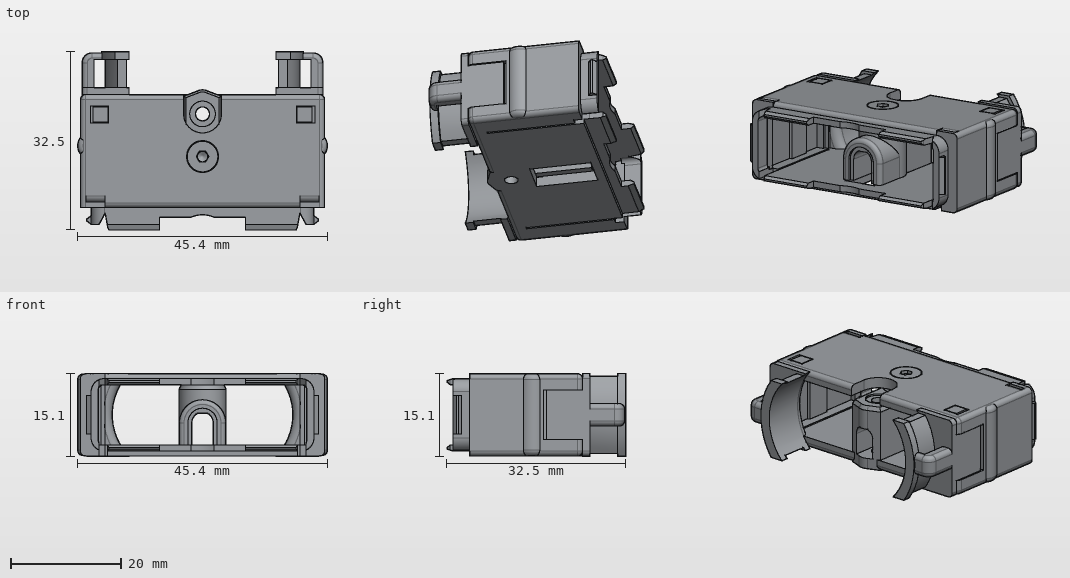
import cadquery as cq
import math


BODY_HALF_X = 22.21
HALF_Z = 7.48
BODY_LENGTH = 20.55
EDGE_RADIUS = 0.92
CAVITY_HALF_X = 18.9
CAVITY_HALF_Z = 5.45
CORNER_X = 17.7
FLOOR_NOTCH_X = (17.3, 18.8)
FLOOR_NOTCH_DEPTH = 1.6
FLOOR_SLIT_OUTER_X = 17.7
SIDE_POCKET_X = 19.9
SIDE_POCKET_Y = (FLOOR_NOTCH_DEPTH, 17.9)
VALLEY_OUTER_X = 21.2
VALLEY_RADIUS = 1.1
LIP_DEPTH = 1.0
OVERLAP = 0.5

TONGUE_OUTER_Z = 6.6
TONGUE_LENGTH = 4.08
TONGUE_TIP_HALF_X = 17.25
TONGUE_CORNER = (0.25, 0.5)
TONGUE_OUTER_BEVEL = (1.05, 0.35)
TONGUE_INNER_BEVEL = (0.6, 0.45)
RECESS_HALF_X = 7.8
RECESS_EDGE_Y = -1.75
RECESS_ARC_HALF_X = 2.1
RECESS_ARC_Y = -1.3

LUG_OUTER_X = 20.25
LUG_INNER_X = 19.0
LUG_RADIUS = 2.4
LUG_INNER_RADIUS = 1.0
LUG_LENGTH = 3.05
LUG_SHOULDER_Y = -1.0
LUG_TIP_X = 18.8
HOOK_X = 21.05
HOOK_HALF_Z = 3.5
HOOK_START_Y = -1.45
HOOK_FLAT_Y = (-2.05, -2.4)

RIDGE_Y = 11.25
RIDGE_HALF_LENGTH = 1.5
RIDGE_HEIGHT = 0.5
RIDGE_HALF_Z = 7.42
RIDGE_END_ROUND = 1.0
WINDOW_HALF_Z = 4.5
WINDOW_FRONT_Y = 13.46
WINDOW_GAP = 0.5
WINDOW_GAP_DEPTH = 1.0

CLIP_X = (17.06, 20.4)
CLIP_Y = (15.4, 18.5)
CLIP_DEPTH = 1.0
CLIP_GAP = 0.15
CLIP_OUTER_GAP = 0.5
SCREW_Y = 9.3
SCREW_RADIUS = 2.9
SCREW_GROOVE = 0.12
SCREW_GROOVE_DEPTH = 0.4
HEX_ACROSS_CORNERS = 2.27
HEX_DEPTH = 0.6
HEX_CONE_RADIUS = 0.95
HEX_CONE_DEPTH = 0.6
EYE_Y = 17.05
EYE_RADIUS = 1.25
EYE_SEAT_RADIUS = 2.33
EYE_SEAT_DEPTH = 0.3
SLOT_HALF_X = 3.45

POST_RADIUS = 4.3
POST_BACK_HALF_X = 3.38
POST_SHOULDER_Y = 20.3
POST_PEAK_Y = 21.45
POST_PEAK_HALF_X = 1.0
POST_PEAK_RISE = 0.25
POST_CHAMFER = (0.8, 0.4)
POST_BACK_TOP_Z = 4.75
ARCH_Z = -1.45
ARCH_FRONT_Y = 2.1
ARCH_RADIUS = 4.2
ARCH_FILLET = 0.85
TUNNEL_MOUTH_RADIUS = 2.66
TUNNEL_MOUTH_DEPTH = 0.5
TUNNEL_RADIUS = 1.93
TUNNEL_TOP_Z = 0.25
FLOOR_OPENING_HALF_X = 3.2
FLOOR_OPENING_Y = (1.65, 13.0)

BORE_X = 5.6
BORE_RADIUS = 10.8
BORE_MOUTH = 1.6
PLUG_FRONT_Y = 18.9
PLUG_STEPS = ((17.74, 18.4), (18.5, 17.9))
FLANGE_HALF_X = 21.9
FLANGE_BACK_Y = 21.83
CLAMP_HALF_Z = 7.53
NECK_RADIUS = 12.12
NECK_HALF_Z = 7.03
COLLAR_RADIUS = 12.8
COLLAR_FRONT_Y = 26.9
BACK_Y = 28.39
BAR_HALF_Z = 2.05
BAR_BACK_Y = 28.15
BAR_INNER_X = 19.7
BAR_ROUND = 1.8
BAR_EDGE = 0.95


def block(x, y, z):
    """Box between the two limits given for each axis."""
    size = (x[1] - x[0], y[1] - y[0], z[1] - z[0])
    return cq.Workplane("XY").box(*size, centered=False).translate((x[0], y[0], z[0]))


def cylinder_y(x, z, radius, y):
    """Cylinder along Y between the two limits of y."""
    plane = cq.Plane(origin=(x, y[0], z), xDir=(1, 0, 0), normal=(0, 1, 0))
    return cq.Workplane(plane).circle(radius).extrude(y[1] - y[0])


def both_sides(shape):
    return shape.union(shape.mirror("YZ"))


def shell():
    body = block((-BODY_HALF_X, BODY_HALF_X), (0, BODY_LENGTH), (-HALF_Z, HALF_Z))
    body = body.edges("|Y").fillet(EDGE_RADIUS)
    body = body.faces(">Y").edges().fillet(EDGE_RADIUS)
    cavity = block(
        (-CAVITY_HALF_X, CAVITY_HALF_X), (0, BODY_LENGTH), (-CAVITY_HALF_Z, CAVITY_HALF_Z)
    )
    body = body.cut(cavity).cut(roof_front_round())
    return body.cut(both_sides(corner_cuts())).cut(both_sides(side_pocket()))


def roof_front_round():
    """Waste outside the rounded front edge of the roof, between the corner blocks."""
    radius = HALF_Z - TONGUE_OUTER_Z
    corner = block((-CORNER_X, CORNER_X), (0, radius), (TONGUE_OUTER_Z, HALF_Z))
    round_bar = (
        cq.Workplane("YZ").center(radius, TONGUE_OUTER_Z).circle(radius)
        .extrude(CORNER_X, both=True)
    )
    return corner.cut(round_bar)


def corner_cuts():
    """Rounded valley behind the upper lip, and notch in the front of the floor."""
    back_y = LIP_DEPTH + VALLEY_RADIUS
    low_z = HALF_Z - VALLEY_RADIUS
    valley = block((CORNER_X, VALLEY_OUTER_X), (LIP_DEPTH, back_y), (low_z, HALF_Z))
    round_bar = (
        cq.Workplane("YZ").center(back_y, low_z).circle(VALLEY_RADIUS).extrude(BODY_HALF_X)
    )
    notch = block(FLOOR_NOTCH_X, (0, FLOOR_NOTCH_DEPTH), (-HALF_Z, -CAVITY_HALF_Z))
    return valley.cut(round_bar).union(notch)


def side_pocket():
    """Pocket in the inside of the +X wall, and the slit along the floor in front of it."""
    pocket = block((0, SIDE_POCKET_X), SIDE_POCKET_Y, (-CAVITY_HALF_Z, CAVITY_HALF_Z))
    slit = block(
        (FLOOR_NOTCH_X[0], FLOOR_SLIT_OUTER_X), (0, SIDE_POCKET_Y[1]), (-HALF_Z, -CAVITY_HALF_Z)
    )
    return pocket.union(slit)


def tongue(root_half_x):
    """Upper front tongue: plan outline cut to its bevelled side profile."""
    corner_x = TONGUE_TIP_HALF_X - TONGUE_CORNER[0]
    corner_y = TONGUE_CORNER[1] - TONGUE_LENGTH
    plan = (
        cq.Workplane("XY").workplane(offset=CAVITY_HALF_Z)
        .moveTo(0, OVERLAP)
        .lineTo(root_half_x, OVERLAP)
        .lineTo(root_half_x, LUG_SHOULDER_Y)
        .lineTo(TONGUE_TIP_HALF_X, corner_y)
        .lineTo(corner_x, -TONGUE_LENGTH)
        .lineTo(RECESS_HALF_X, -TONGUE_LENGTH)
        .lineTo(RECESS_HALF_X, RECESS_EDGE_Y)
        .lineTo(RECESS_ARC_HALF_X, RECESS_EDGE_Y)
        .threePointArc((0, RECESS_ARC_Y), (-RECESS_ARC_HALF_X, RECESS_EDGE_Y))
        .lineTo(-RECESS_HALF_X, RECESS_EDGE_Y)
        .lineTo(-RECESS_HALF_X, -TONGUE_LENGTH)
        .lineTo(-corner_x, -TONGUE_LENGTH)
        .lineTo(-TONGUE_TIP_HALF_X, corner_y)
        .lineTo(-root_half_x, LUG_SHOULDER_Y)
        .lineTo(-root_half_x, OVERLAP)
        .close()
        .extrude(TONGUE_OUTER_Z - CAVITY_HALF_Z)
    )
    inner_length, inner_drop = TONGUE_INNER_BEVEL
    outer_length, outer_drop = TONGUE_OUTER_BEVEL
    profile = (
        cq.Workplane("YZ")
        .moveTo(OVERLAP, CAVITY_HALF_Z)
        .lineTo(inner_length - TONGUE_LENGTH, CAVITY_HALF_Z)
        .lineTo(-TONGUE_LENGTH, CAVITY_HALF_Z + inner_drop)
        .lineTo(-TONGUE_LENGTH, TONGUE_OUTER_Z - outer_drop)
        .lineTo(outer_length - TONGUE_LENGTH, TONGUE_OUTER_Z)
        .lineTo(OVERLAP, TONGUE_OUTER_Z)
        .close()
        .extrude(root_half_x, both=True)
    )
    return plan.intersect(profile)


def front_lug():
    """C-shaped latch wall on the +X side with a snap hook on its outside."""
    y_range = (-LUG_LENGTH, OVERLAP)
    outer = block((0, LUG_OUTER_X), y_range, (-TONGUE_OUTER_Z, TONGUE_OUTER_Z))
    outer = outer.edges("|Y and >X").fillet(LUG_RADIUS)
    inner = block((0, LUG_INNER_X), y_range, (-CAVITY_HALF_Z, CAVITY_HALF_Z))
    inner = inner.edges("|Y and >X").fillet(LUG_INNER_RADIUS)
    lower_leg = block((0, FLOOR_NOTCH_X[1]), y_range, (-HALF_Z, 0))
    plan = (
        cq.Workplane("XY").workplane(offset=-HALF_Z)
        .moveTo(CORNER_X, OVERLAP)
        .lineTo(CORNER_X, LUG_SHOULDER_Y)
        .lineTo(LUG_TIP_X, -LUG_LENGTH)
        .lineTo(LUG_OUTER_X, -LUG_LENGTH)
        .lineTo(LUG_OUTER_X, OVERLAP)
        .close()
        .extrude(2 * HALF_Z)
    )
    hook = (
        cq.Workplane("XY")
        .moveTo(LUG_INNER_X, HOOK_START_Y)
        .lineTo(LUG_OUTER_X, HOOK_START_Y)
        .lineTo(HOOK_X, HOOK_FLAT_Y[0])
        .lineTo(HOOK_X, HOOK_FLAT_Y[1])
        .lineTo(LUG_OUTER_X, -LUG_LENGTH)
        .lineTo(LUG_INNER_X, -LUG_LENGTH)
        .close()
        .extrude(HOOK_HALF_Z, both=True)
    )
    return outer.cut(inner).cut(lower_leg).intersect(plan).union(hook)


def grip_ridge():
    """Low ridge up the +X side: the outer sliver of an upright cylinder with rounded rims."""
    outer_x = BODY_HALF_X + RIDGE_HEIGHT
    radius = (RIDGE_HALF_LENGTH**2 + RIDGE_HEIGHT**2) / (2 * RIDGE_HEIGHT)
    pillar = (
        cq.Workplane("XY").center(outer_x - radius, RIDGE_Y)
        .circle(radius).extrude(RIDGE_HALF_Z, both=True)
    )
    pillar = pillar.faces("|Z").edges().fillet(RIDGE_END_ROUND)
    envelope = block(
        (CAVITY_HALF_X + OVERLAP, outer_x),
        (RIDGE_Y - radius, RIDGE_Y + radius),
        (-RIDGE_HALF_Z, RIDGE_HALF_Z),
    )
    return pillar.intersect(envelope)


def side_window():
    """Recess in the +X side down to the flange width, with a deeper gap at its front end."""
    z_range = (-WINDOW_HALF_Z, WINDOW_HALF_Z)
    recess = block((FLANGE_HALF_X, BODY_HALF_X), (WINDOW_FRONT_Y, BODY_LENGTH), z_range)
    gap = block(
        (BODY_HALF_X - WINDOW_GAP_DEPTH, BODY_HALF_X),
        (WINDOW_FRONT_Y, WINDOW_FRONT_Y + WINDOW_GAP),
        z_range,
    )
    return recess.union(gap)


def roof_clip_gap():
    """Gap around the flush square clip in the roof on the +X side."""
    z_range = (HALF_Z - CLIP_DEPTH, HALF_Z)
    opening = block(CLIP_X, CLIP_Y, z_range)
    clip = block(
        (CLIP_X[0] + CLIP_GAP, CLIP_X[1] - CLIP_OUTER_GAP),
        (CLIP_Y[0] + CLIP_GAP, CLIP_Y[1] - CLIP_GAP),
        z_range,
    )
    return opening.cut(clip)


def roof_slot():
    """U-shaped slot from the back edge of the roof around the eye of the post."""
    height = HALF_Z - CAVITY_HALF_Z
    base = cq.Workplane("XY").workplane(offset=CAVITY_HALF_Z)
    end = base.center(0, EYE_Y).circle(SLOT_HALF_X).extrude(height)
    sides = block((-SLOT_HALF_X, SLOT_HALF_X), (EYE_Y, BODY_LENGTH), (CAVITY_HALF_Z, HALF_Z))
    return end.union(sides)


def screw_cuts():
    """Ring around the flush screw head and its hexagon socket with a conical bottom."""
    top = cq.Workplane("XY").workplane(offset=HALF_Z).center(0, SCREW_Y)
    ring = top.circle(SCREW_RADIUS).circle(SCREW_RADIUS - SCREW_GROOVE).extrude(-SCREW_GROOVE_DEPTH)
    socket = top.polygon(6, HEX_ACROSS_CORNERS).extrude(-HEX_DEPTH)
    cone = cq.Workplane("XY").add(
        cq.Solid.makeCone(
            HEX_CONE_RADIUS,
            0,
            HEX_CONE_DEPTH,
            pnt=cq.Vector(0, SCREW_Y, HALF_Z - HEX_DEPTH),
            dir=cq.Vector(0, 0, -1),
        )
    )
    return ring.union(socket).union(cone)


def centre_post():
    """Round pillar under the screw, with a lower arm running back to a pointed end behind the eye."""
    base = cq.Workplane("XY").workplane(offset=-HALF_Z)
    pillar = base.center(0, SCREW_Y).circle(POST_RADIUS).extrude(HALF_Z + CAVITY_HALF_Z)
    pillar = pillar.faces(">Z").edges().chamfer(*POST_CHAMFER)
    peak_side_y = POST_PEAK_Y - POST_PEAK_RISE
    arm = (
        base.moveTo(-POST_BACK_HALF_X, SCREW_Y)
        .lineTo(POST_BACK_HALF_X, SCREW_Y)
        .lineTo(POST_BACK_HALF_X, POST_SHOULDER_Y)
        .lineTo(POST_PEAK_HALF_X, peak_side_y)
        .threePointArc((0, POST_PEAK_Y), (-POST_PEAK_HALF_X, peak_side_y))
        .lineTo(-POST_BACK_HALF_X, POST_SHOULDER_Y)
        .close()
        .extrude(HALF_Z + POST_BACK_TOP_Z)
    )
    arm = arm.faces(">Z").edges().chamfer(*POST_CHAMFER)
    return pillar.union(arm)


def arch(radius, y):
    """Round-topped bar along Y that stands on the bottom of the part."""
    top = cylinder_y(0, ARCH_Z, radius, y)
    return top.union(block((-radius, radius), y, (-HALF_Z, ARCH_Z)))


def arch_nose():
    nose = arch(ARCH_RADIUS, (ARCH_FRONT_Y, SCREW_Y)).clean()
    return nose.faces("<Y").edges("not <Z").fillet(ARCH_FILLET)


def tunnel():
    """Flat-topped passage along the whole post with a wider mouth, open through the floor."""
    passage = arch(TUNNEL_RADIUS, (ARCH_FRONT_Y, POST_PEAK_Y))
    above = block(
        (-TUNNEL_RADIUS, TUNNEL_RADIUS), (ARCH_FRONT_Y, POST_PEAK_Y), (TUNNEL_TOP_Z, CAVITY_HALF_Z)
    )
    mouth = arch(TUNNEL_MOUTH_RADIUS, (ARCH_FRONT_Y, ARCH_FRONT_Y + TUNNEL_MOUTH_DEPTH))
    opening = block(
        (-FLOOR_OPENING_HALF_X, FLOOR_OPENING_HALF_X), FLOOR_OPENING_Y, (-HALF_Z, -CAVITY_HALF_Z)
    )
    floor = block(
        (-TUNNEL_RADIUS, TUNNEL_RADIUS),
        (FLOOR_OPENING_Y[1], POST_PEAK_Y),
        (-HALF_Z, -CAVITY_HALF_Z),
    )
    return passage.cut(above).cut(floor).union(mouth).union(opening)


def eye():
    """Vertical hole near the back of the post with a shallow round seat."""
    through = cq.Workplane("XY").workplane(offset=-HALF_Z).center(0, EYE_Y)
    hole = through.circle(EYE_RADIUS).extrude(2 * HALF_Z)
    seat = cq.Workplane("XY").workplane(offset=POST_BACK_TOP_Z).center(0, EYE_Y)
    return hole.union(seat.circle(EYE_SEAT_RADIUS).extrude(-EYE_SEAT_DEPTH))


def clamp_segment(radius, half_z, y):
    """Part of a cylinder around the clamp bore, on its +X side."""
    return cylinder_y(BORE_X, 0, radius, y).intersect(
        block((BORE_X, BODY_HALF_X), y, (-half_z, half_z))
    )


def clamp_arm():
    """Plug, flange, curved neck and end collar around the bore, tied by an L-shaped bar."""
    plug = block(
        (BORE_X, CAVITY_HALF_X), (PLUG_FRONT_Y, BODY_LENGTH), (-CAVITY_HALF_Z, CAVITY_HALF_Z)
    )
    flange = block(
        (BORE_X, FLANGE_HALF_X),
        (BODY_LENGTH - EDGE_RADIUS, FLANGE_BACK_Y),
        (-CLAMP_HALF_Z, CLAMP_HALF_Z),
    )
    flange = flange.edges("|Y and >X").fillet(EDGE_RADIUS)
    flange = flange.cut(flange_trim())
    neck = clamp_segment(NECK_RADIUS, NECK_HALF_Z, (FLANGE_BACK_Y, COLLAR_FRONT_Y))
    collar = clamp_segment(COLLAR_RADIUS, CLAMP_HALF_Z, (COLLAR_FRONT_Y, BACK_Y))
    bore = cylinder_y(BORE_X, 0, BORE_RADIUS, (PLUG_FRONT_Y, BACK_Y))
    for step_x, step_y in PLUG_STEPS:
        plug = plug.union(
            block(
                (step_x, CAVITY_HALF_X), (step_y, BODY_LENGTH), (-CAVITY_HALF_Z, CAVITY_HALF_Z)
            )
        )
    arm = plug.union(flange).union(neck).union(collar).union(tie_bar())
    return arm.cut(bore).cut(bore_mouth())


def bore_mouth():
    """Waste that widens the front of the clamp bore along a convex quarter round."""
    back_y = PLUG_FRONT_Y + BORE_MOUTH
    outer_x = BORE_RADIUS + BORE_MOUTH
    bend = BORE_MOUTH * math.sqrt(0.5)
    profile = (
        cq.Workplane("XY")
        .moveTo(0, PLUG_FRONT_Y)
        .lineTo(outer_x, PLUG_FRONT_Y)
        .threePointArc((outer_x - bend, back_y - bend), (BORE_RADIUS, back_y))
        .lineTo(0, back_y)
        .close()
    )
    return profile.revolve(360, (0, 0, 0), (0, 1, 0)).translate((BORE_X, 0, 0))


def flange_trim():
    """Waste that limits the flange to the side windows where it reaches into the shell."""
    return block(
        (BORE_X, BODY_HALF_X),
        (BODY_LENGTH - EDGE_RADIUS, BODY_LENGTH),
        (-CLAMP_HALF_Z, CLAMP_HALF_Z),
    ).cut(block((BORE_X, FLANGE_HALF_X), (0, BODY_LENGTH), (-WINDOW_HALF_Z, WINDOW_HALF_Z)))


def tie_bar():
    """Rounded L-shaped bar from the flange to the collar."""
    z_range = (-BAR_HALF_Z, BAR_HALF_Z)
    bar = block((BORE_X + BORE_RADIUS, FLANGE_HALF_X), (BODY_LENGTH, BAR_BACK_Y), z_range)
    bar = bar.edges("|Z and >X and >Y").fillet(BAR_ROUND)
    bar = bar.faces(">Z or <Z").edges("not <X").edges("not <Y").fillet(BAR_EDGE)
    window = block((0, BAR_INNER_X), (FLANGE_BACK_Y, COLLAR_FRONT_Y), z_range)
    return bar.cut(window)


result = shell()
result = result.union(tongue(CORNER_X)).union(tongue(FLOOR_NOTCH_X[0]).mirror("XY"))
result = result.union(both_sides(front_lug())).union(both_sides(grip_ridge()))
result = result.cut(both_sides(side_window())).cut(both_sides(roof_clip_gap()))
result = result.cut(roof_slot())
result = result.union(centre_post()).union(arch_nose())
result = result.cut(tunnel()).cut(screw_cuts()).cut(eye())
result = result.union(both_sides(clamp_arm()))